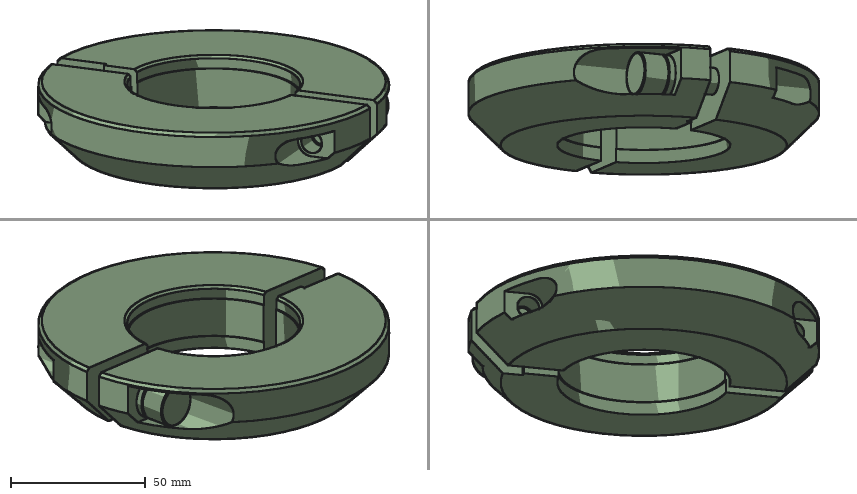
import cadquery as cq

outer_radius = 65.0
height = 25.0
top_edge_chamfer = 1.3
bottom_chamfer = 12.0
bore_radius = 31.7
bore_relief = 0.32
bore_land_height = 5.0
bore_top_chamfer = 1.0

front_split_y = -4.0
rear_split_y = 2.2
rear_step_depth = 1.8
rear_step_x = -45.2

screw_x = 50.6
screw_z = 15.0
shank_diameter = 10.0
thread_diameter = 8.3
thread_length = 13.0
tip_chamfer = 1.0
head_diameter = 16.0
head_length = 9.9
head_edge_chamfer = 0.4

head_seat_y = 15.2
head_pocket_width = 16.4
tip_floor_y = -25.6
tip_pocket_width = 10.9

washer_thickness = 2.9
washer_diameter = head_diameter
washer_edge_chamfer = 0.4

head_bottom_y = head_seat_y + washer_thickness
cut_length = 2 * outer_radius


def cylinder_y(x, diameter, y_start, y_end):
    """Cylinder on a screw axis, from y_start to y_end."""
    start = cq.Vector(x, y_start, screw_z)
    solid = cq.Solid.makeCylinder(diameter / 2, y_end - y_start, start, cq.Vector(0, 1, 0))
    return cq.Workplane(solid)


def box_between(x_range, y_range, z_range):
    """Box given by its limits along each axis."""
    sizes = [end - start for start, end in (x_range, y_range, z_range)]
    corner = cq.Vector(x_range[0], y_range[0], z_range[0])
    return cq.Workplane(cq.Solid.makeBox(*sizes, corner))


def make_ring():
    """Full ring, revolved from its cross-section."""
    land_radius = bore_radius + bore_relief
    upper_land_z = height - bore_land_height
    section = [
        (land_radius, 0),
        (outer_radius - bottom_chamfer, 0),
        (outer_radius, bottom_chamfer),
        (outer_radius, height - top_edge_chamfer),
        (outer_radius - top_edge_chamfer, height),
        (land_radius + bore_top_chamfer, height),
        (land_radius, height - bore_top_chamfer),
        (land_radius, upper_land_z),
        (bore_radius, upper_land_z),
        (bore_radius, bore_land_height),
        (land_radius, bore_land_height),
    ]
    return cq.Workplane("XZ").polyline(section).close().revolve(360, (0, 0, 0), (0, 1, 0))


def make_pocket(side, width, y_start, y_end):
    """Round-ended pocket on a screw axis, widened straight out through the ring's outer side."""
    axis_x = side * screw_x
    outward_x = sorted((axis_x, side * cut_length))
    half_width = width / 2
    opening = box_between(outward_x, (y_start, y_end), (screw_z - half_width, screw_z + half_width))
    return cylinder_y(axis_x, width, y_start, y_end).union(opening)


def make_front_half():
    """Half ring that the screws thread into."""
    across = (-cut_length, cut_length)
    half = make_ring().intersect(box_between(across, (-cut_length, front_split_y), (0, height)))
    for side in (-1, 1):
        half = half.cut(cylinder_y(side * screw_x, thread_diameter, -cut_length, front_split_y))
        half = half.cut(make_pocket(side, tip_pocket_width, -cut_length, tip_floor_y))
    return half


def make_rear_half():
    """Half ring that holds the screw heads, with its left split face cut back."""
    across = (-cut_length, cut_length)
    half = make_ring().intersect(box_between(across, (rear_split_y, cut_length), (0, height)))
    step_y = (rear_split_y, rear_split_y + rear_step_depth)
    half = half.cut(box_between((-cut_length, rear_step_x), step_y, (0, height)))
    for side in (-1, 1):
        half = half.cut(cylinder_y(side * screw_x, shank_diameter, rear_split_y, cut_length))
        half = half.cut(make_pocket(side, head_pocket_width, head_seat_y, cut_length))
    return half


def make_screw(side):
    """Cap screw whose shank ends on the front split face and whose thread goes into the front half."""
    axis_x = side * screw_x
    thread = cylinder_y(axis_x, thread_diameter, front_split_y - thread_length, front_split_y)
    thread = thread.faces("<Y").chamfer(tip_chamfer)
    shank = cylinder_y(axis_x, shank_diameter, front_split_y, head_bottom_y)
    head = cylinder_y(axis_x, head_diameter, head_bottom_y, head_bottom_y + head_length)
    head = head.faces(">Y").chamfer(head_edge_chamfer)
    return thread.union(shank).union(head)


def make_washer(side):
    """Washer between the head and the pocket floor."""
    axis_x = side * screw_x
    disc = cylinder_y(axis_x, washer_diameter, head_seat_y, head_bottom_y)
    disc = disc.faces(">Y").chamfer(washer_edge_chamfer)
    return disc.cut(cylinder_y(axis_x, shank_diameter, head_seat_y, head_bottom_y))


front_half = make_front_half()
rear_half = make_rear_half()
screws = [make_screw(side).val() for side in (-1, 1)]
washers = [make_washer(side).val() for side in (-1, 1)]

result = cq.Compound.makeCompound([front_half.val(), rear_half.val(), *screws, *washers])